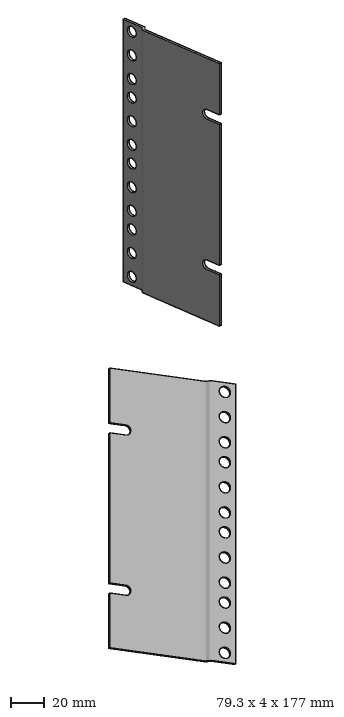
import cadquery as cq
import math

length = 79.3
height = 177.0
depth = 4.0
thickness = 1.8

bend_start = 14.9
bend_angle = math.radians(45)
inner_radius = 0.9
outer_radius = inner_radius + thickness

hole_diameter = 7.0
hole_inset = 6.9
group_count = 4
group_pitch = 44.5
hole_pitch = 16.0

slot_width = 6.4
slot_length = 13.5

top_group_z = (group_count - 1) * group_pitch / 2
slot_z = top_group_z - hole_pitch


def joggled_sheet():
    """Constant-thickness sheet, bent twice and extruded upward."""
    step = depth - thickness
    half_bend = math.tan(bend_angle / 2)
    outer_corner = bend_start + outer_radius * half_bend
    inner_corner = bend_start + inner_radius * half_bend
    run = step / math.tan(bend_angle)
    upper_foot = (outer_corner + run, thickness)
    lower_foot = (inner_corner + run, 0)
    outline = [
        (0, step),
        (inner_corner, step),
        lower_foot,
        (length, 0),
        (length, thickness),
        upper_foot,
        (outer_corner, depth),
        (0, depth),
    ]
    sheet = cq.Workplane("XY").polyline(outline).close().extrude(height / 2, both=True)
    bends = [
        (outer_corner, depth, outer_radius),
        (*lower_foot, outer_radius),
        (inner_corner, step, inner_radius),
        (*upper_foot, inner_radius),
    ]
    for x, y, radius in bends:
        sheet = sheet.edges(cq.selectors.NearestToPointSelector((x, y, 0))).fillet(radius)
    return sheet


def flange_holes():
    """Cutters for the column of round holes."""
    centres = []
    for group in range(group_count):
        group_z = top_group_z - group * group_pitch
        for offset in (-hole_pitch, 0, hole_pitch):
            centres.append((hole_inset, group_z + offset))
    return (
        cq.Workplane("XZ").pushPoints(centres)
        .circle(hole_diameter / 2).extrude(depth, both=True)
    )


def edge_slot(z):
    """Cutter for a round-ended slot open at the far edge."""
    radius = slot_width / 2
    slot_end = length - slot_length
    return (
        cq.Workplane("XZ").moveTo(length, z - radius)
        .lineTo(slot_end + radius, z - radius)
        .threePointArc((slot_end, z), (slot_end + radius, z + radius))
        .lineTo(length, z + radius).close()
        .extrude(depth, both=True)
    )


result = joggled_sheet().cut(flange_holes())
for z in (-slot_z, slot_z):
    result = result.cut(edge_slot(z))